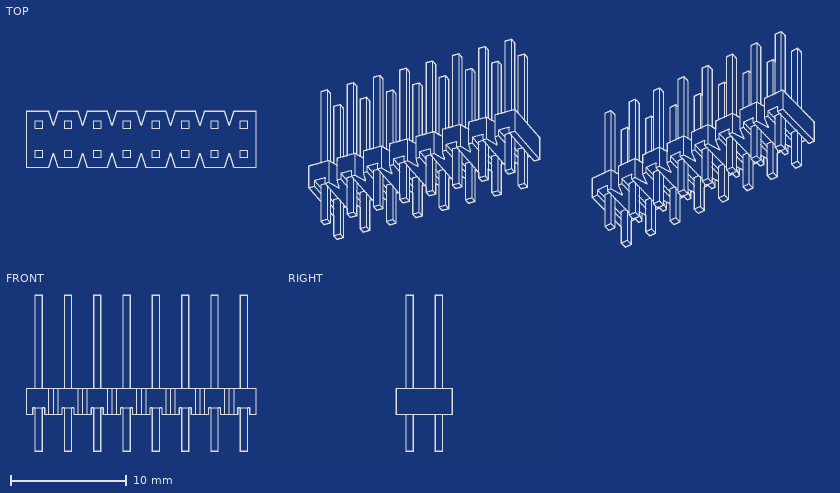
import cadquery as cq

body_length = 19.91
body_width = 4.88
body_height = 2.29

pins_per_row = 8
row_span = 17.78
pitch = row_span / (pins_per_row - 1)

pin_side = 0.64
total_height = 13.54
pin_below = 3.19

notch_width = 0.8
notch_depth = 1.23

channel_width = 1.02
channel_depth = 0.6

pin_columns = [-row_span / 2 + i * pitch for i in range(pins_per_row)]
notch_centers = [x + pitch / 2 for x in pin_columns[:-1]]


def make_notch(x, side):
    """Vertical wedge cut into the long side at side * Y (side is +1 or -1)."""
    edge_y = side * body_width / 2
    tip_y = edge_y - side * notch_depth
    return (
        cq.Workplane("XY")
        .polyline([(x - notch_width / 2, edge_y), (x, tip_y), (x + notch_width / 2, edge_y)])
        .close()
        .extrude(body_height)
    )


def make_housing():
    """Rectangular block with notched long sides and a channelled underside."""
    housing = cq.Workplane("XY").box(body_length, body_width, body_height, centered=(True, True, False))
    for x in notch_centers:
        for side in (-1, 1):
            housing = housing.cut(make_notch(x, side))
    channels = (
        cq.Workplane("XY")
        .pushPoints([(x, 0) for x in pin_columns])
        .rect(channel_width, body_width)
        .extrude(channel_depth)
    )
    return housing.cut(channels)


def make_pins():
    """Two rows of square pins, one pitch apart, running through the housing."""
    centers = [(x, side * pitch / 2) for x in pin_columns for side in (-1, 1)]
    return (
        cq.Workplane("XY")
        .workplane(offset=-pin_below)
        .pushPoints(centers)
        .rect(pin_side, pin_side)
        .extrude(total_height)
    )


result = make_housing().union(make_pins())